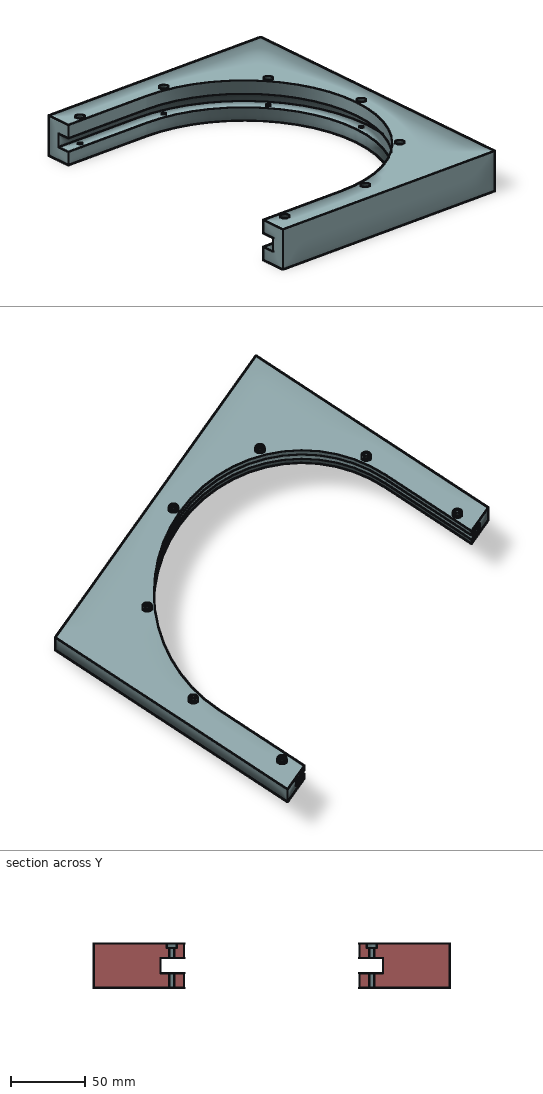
import cadquery as cq
import math

width = 240.5
depth = 190.0
height = 30.0

opening_radius = 100.0
groove_depth = 10.0
groove_height = 10.0
arc_center_y = 70.2

hole_line_radius = opening_radius + groove_depth / 2
hole_angles = (10, 50, 90, 130, 170)
leg_hole_y = 15.0
hole_diameter = 3.1
head_diameter = 6.5
head_depth = 3.1


def u_shaped_cutter(radius, bottom, thickness):
    """Slot open at the front edge, ending in a semicircle at the back."""
    return (
        cq.Workplane("XY", origin=(0, 0, bottom))
        .moveTo(-radius, 0)
        .lineTo(-radius, arc_center_y)
        .threePointArc((0, arc_center_y + radius), (radius, arc_center_y))
        .lineTo(radius, 0)
        .close()
        .extrude(thickness)
    )


def screw_positions():
    """Holes around the semicircle, plus one near the end of each leg."""
    points = [(-hole_line_radius, leg_hole_y), (hole_line_radius, leg_hole_y)]
    for angle in hole_angles:
        x = hole_line_radius * math.cos(math.radians(angle))
        y = arc_center_y + hole_line_radius * math.sin(math.radians(angle))
        points.append((x, y))
    return points


block = cq.Workplane("XY").box(width, depth, height, centered=(True, False, False))
opening = u_shaped_cutter(opening_radius, 0, height)
groove_bottom = (height - groove_height) / 2
groove = u_shaped_cutter(opening_radius + groove_depth, groove_bottom, groove_height)
frame = block.cut(opening).cut(groove)

result = (
    frame.faces(">Z")
    .workplane(origin=(0, 0, height))
    .pushPoints(screw_positions())
    .cboreHole(hole_diameter, head_diameter, head_depth)
)